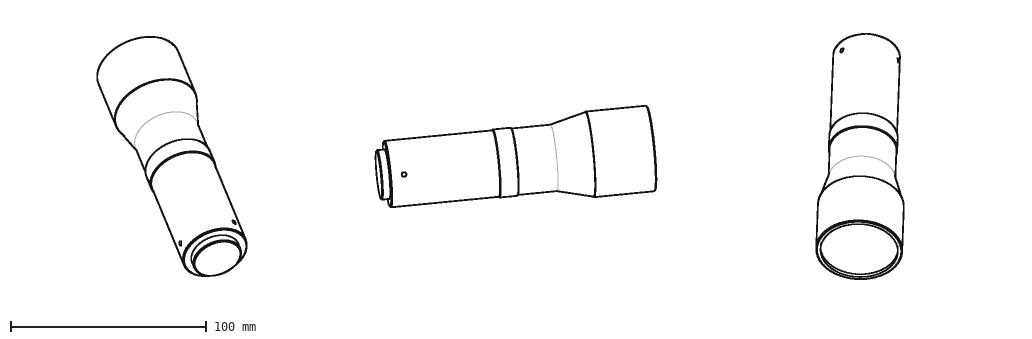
import cadquery as cq
import math

total_length = 140.3
head_end = 31.7
taper_end = 50.2
band_start = 70.3
band_end = 80.1
body_end = 136.1

head_radius = 22.0
body_radius = 17.1
band_radius = 17.5
rear_radius = 12.8
edge_chamfer = 0.5
band_chamfer = 0.4
head_back_chamfer = 0.3

recess_radius = 19.8
recess_depth = 2.0

screw_count = 3
screw_station = 128.8
screw_diameter = 2.4
screw_depth = 2.1
first_screw_angle = 43.5


def cylinder(start, end, radius):
    """Cylinder along X between two stations."""
    return cq.Workplane("YZ", origin=(start, 0, 0)).circle(radius).extrude(end - start)


def make_head():
    head = cylinder(0, head_end, head_radius)
    return head.faces("<X").chamfer(edge_chamfer).faces(">X").chamfer(head_back_chamfer)


def make_taper():
    start_radius = head_radius - head_back_chamfer
    section = cq.Workplane("YZ", origin=(head_end, 0, 0)).circle(start_radius)
    return section.workplane(offset=taper_end - head_end).circle(body_radius).loft()


def make_body():
    body = cylinder(taper_end, body_end, body_radius).faces(">X").chamfer(edge_chamfer)
    band = cylinder(band_start, band_end, band_radius).faces("<X or >X").chamfer(band_chamfer)
    return body.union(band)


def make_rear_spigot():
    return cylinder(body_end, total_length, rear_radius).faces(">X").chamfer(edge_chamfer)


def make_screw_hole(angle):
    """Blind hole drilled inwards from the body surface."""
    direction = cq.Vector(0, math.cos(math.radians(angle)), math.sin(math.radians(angle)))
    floor = cq.Vector(screw_station, 0, 0) + direction * (body_radius - screw_depth)
    return cq.Solid.makeCylinder(screw_diameter / 2, 2 * screw_depth, floor, direction)


result = make_head().union(make_taper()).union(make_body()).union(make_rear_spigot())
result = result.cut(cylinder(0, recess_depth, recess_radius))
for index in range(screw_count):
    result = result.cut(make_screw_hole(first_screw_angle + index * 360 / screw_count))